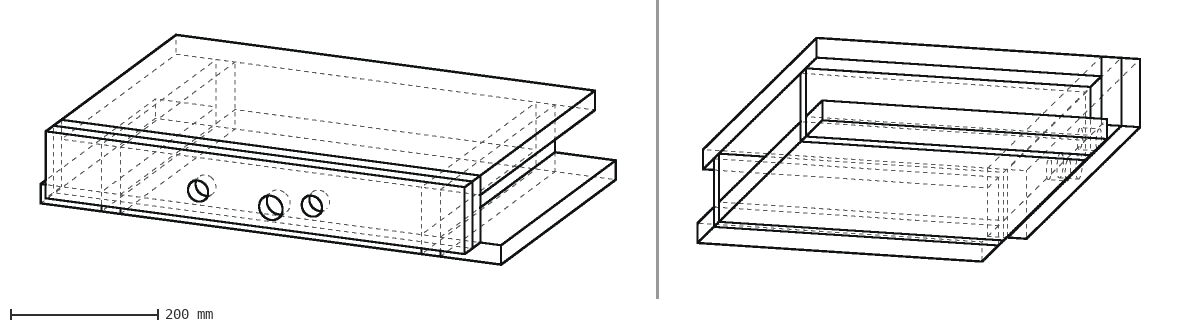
import cadquery as cq

base_width = 680.0
total_depth = 454.0
total_height = 124.0
board = 28.0

top_width = 619.0
flange_width = 90.0

front_thickness = 26.5
small_hole = 30.0
large_hole = 35.0
small_hole_height = 67.0
large_hole_height = 57.0
left_hole_x = -84.0
middle_hole_x = 23.0
right_hole_x = 83.5

case_front = front_thickness + board
case_depth = total_depth - case_front
wall_height = total_height - board
panel_height = total_height - board
floor_width = base_width - 2 * (flange_width + board)


def make_board(width, depth, height, center_x, front_y, bottom_z):
    """Rectangular board centred on center_x."""
    return (
        cq.Workplane("XY", origin=(center_x, front_y, bottom_z))
        .box(width, depth, height, centered=(True, False, False))
    )


def make_front_panel():
    """Outer panel with three holes through its own thickness."""
    panel = make_board(top_width, front_thickness, panel_height, 0, 0, board)
    holes = [
        (left_hole_x, small_hole_height, small_hole),
        (middle_hole_x, large_hole_height, large_hole),
        (right_hole_x, small_hole_height, small_hole),
    ]
    for x, z, diameter in holes:
        cutter = (
            cq.Workplane("XZ", origin=(x, 0, z))
            .circle(diameter / 2)
            .extrude(-front_thickness)
        )
        panel = panel.cut(cutter)
    return panel


def make_side_wall(side):
    """Upright wall from the underside to the top board; side is -1 or 1."""
    center_x = side * (floor_width + board) / 2
    return make_board(board, case_depth, wall_height, center_x, case_front, 0)


def make_flange(side):
    """Bottom strip outside a side wall; side is -1 or 1."""
    center_x = side * (base_width - flange_width) / 2
    return make_board(flange_width, case_depth, board, center_x, case_front, 0)


front_panel = make_front_panel()
backing_panel = make_board(top_width, board, panel_height, 0, front_thickness, board)
top_board = make_board(top_width, case_depth, board, 0, case_front, wall_height)
floor_board = make_board(floor_width, case_depth, board, 0, case_front, 0)
side_walls = [make_side_wall(side) for side in (-1, 1)]
flanges = [make_flange(side) for side in (-1, 1)]

bodies = [front_panel, backing_panel, top_board, floor_board, *side_walls, *flanges]
result = cq.Compound.makeCompound([body.val() for body in bodies])